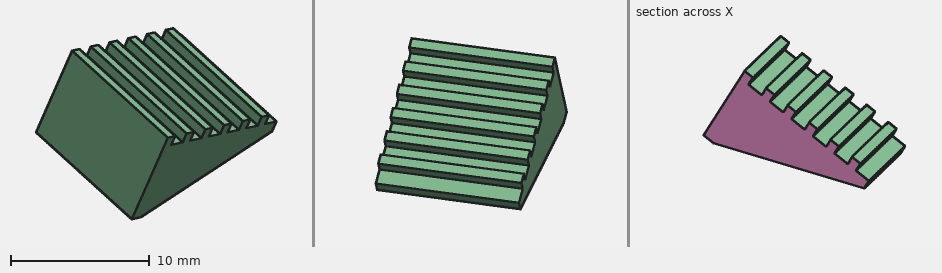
import cadquery as cq
import math

width = 10.7
tilt = math.radians(27.4)
back_height = 7.42
back_foot_z = 0.44
fin_count = 6
fin_pitch = 2.0
fin_thickness = 0.8
fin_height = 0.8

slope_length = fin_count * fin_pitch
floor_height = back_height - fin_height


def tilted(along, up):
    """Point (Y, Z) from distances down the slope and square to it, from the back foot."""
    y = along * math.cos(tilt) + up * math.sin(tilt)
    z = back_foot_z - along * math.sin(tilt) + up * math.cos(tilt)
    return y, z


def comb_points():
    """Fins and gaps from the back face down to the low end of the slope."""
    points = []
    for index in range(fin_count):
        start = index * fin_pitch
        end = start + fin_thickness
        if index > 0:
            points.append(tilted(start, floor_height))
        points.append(tilted(start, back_height))
        points.append(tilted(end, back_height))
        points.append(tilted(end, floor_height))
    points.append(tilted(slope_length, floor_height))
    return points


front_y, front_z = tilted(slope_length, floor_height)
base_front = (front_y - front_z * math.tan(tilt), 0)
base_back = (back_foot_z / math.tan(tilt), 0)

profile = [tilted(0, 0)] + comb_points() + [base_front, base_back]

result = cq.Workplane("YZ").polyline(profile).close().extrude(width)